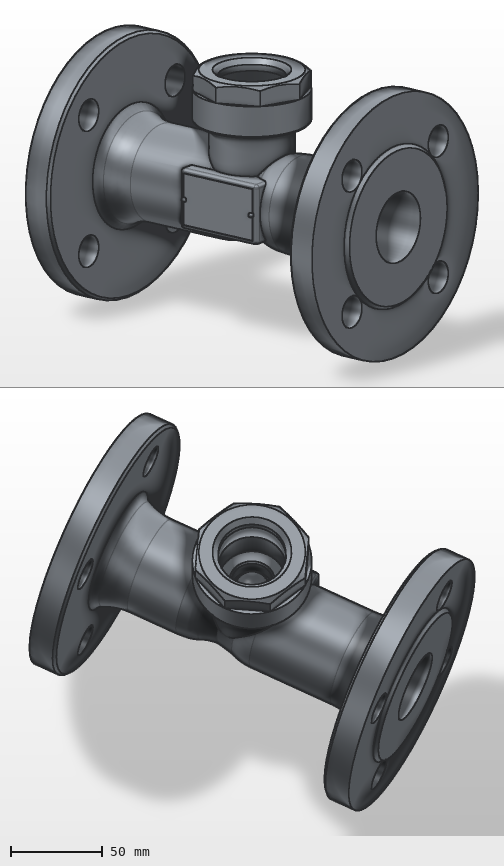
import cadquery as cq
import math

face_to_face = 200.0
flange_diameter = 150.0
raised_face_height = 2.2
raised_face_diameter = 92.0
raised_face_chamfer = 2.0
flange_thickness = 15.8
flange_chamfer = 1.5
bolt_circle = 110.0
bolt_hole_diameter = 18.0
bolt_hole_count = 4

pipe_diameter = 55.5
bore_diameter = 40.0
flare_length = 15.5
flare_rise = 3.5
root_fillet_length = 4.2
root_fillet_rise = 4.0

waist_radius = 23.2
waist_x = 9.8
waist_left_x = -12.5
waist_left_turn_x = -0.5
waist_left_turn_radius = 25.5
waist_right_x = 32.5
waist_right_turn_x = 20.2
waist_right_turn_radius = 25.5

neck_diameter = 47.0
neck_thread_diameter = 56.0
neck_flare_radius = 3.0
neck_top_z = 53.0
neck_bore_diameter = 37.0
neck_floor_z = 36.0

seat_rim_diameter = 25.0
seat_diameter = 23.0
seat_depth = 10.0
dome_radius = 10.0

pad_length = 52.5
pad_height = 34.5
pad_front_y = -30.2
pad_back_y = -16.0
pad_edge_fillet = 2.0
plate_length = 47.2
plate_height = 29.5
plate_thickness = 0.5
rivet_diameter = 2.5
rivet_height = 1.5
rivet_tip_fillet = 1.0
rivet_spacing = 45.5

nut_diameter = 65.0
nut_sides = 8
nut_bottom_z = 41.5
nut_bottom_chamfer = 1.2
nut_octagon_z = 60.0
nut_top_z = 70.8
nut_top_flat_diameter = 58.0
nut_top_chamfer_angle = 30.0
nut_cavity_top_z = 64.2
nut_opening_chamfer = 3.0

half_length = face_to_face / 2
pipe_radius = pipe_diameter / 2
flange_front = half_length - raised_face_height
flange_back = flange_front - flange_thickness
flare_end = flange_back - root_fillet_length
flare_start = flare_end - flare_length


def make_pipe_end(inner_x):
    """Pipe from inner_x out to its flange face at +X, as one turned solid."""
    flange_radius = flange_diameter / 2
    face_radius = raised_face_diameter / 2
    flare_radius = pipe_radius + flare_rise
    profile = (
        cq.Workplane("XY")
        .moveTo(inner_x, 0)
        .lineTo(inner_x, pipe_radius)
        .lineTo(flare_start, pipe_radius)
        .tangentArcPoint((flare_end, flare_radius), relative=False)
        .tangentArcPoint((flange_back, flare_radius + root_fillet_rise), relative=False)
        .lineTo(flange_back, flange_radius - flange_chamfer)
        .lineTo(flange_back + flange_chamfer, flange_radius)
        .lineTo(flange_front, flange_radius)
        .lineTo(flange_front, face_radius)
        .lineTo(half_length, face_radius - raised_face_chamfer)
        .lineTo(half_length, 0)
        .close()
    )
    pipe_end = profile.revolve(360, (0, 0, 0), (1, 0, 0))
    bolt_holes = (
        cq.Workplane("YZ", origin=(flange_back - root_fillet_length, 0, 0))
        .polarArray(bolt_circle / 2, 180 / bolt_hole_count, 360, bolt_hole_count)
        .circle(bolt_hole_diameter / 2)
        .extrude(half_length - flange_back + root_fillet_length)
    )
    return pipe_end.cut(bolt_holes)


def blend_radius(run, rise):
    """Radius of an arc that starts along the pipe and moves off it by rise over the length run."""
    return (run**2 + rise**2) / (2 * rise)


def make_waist():
    """Turned middle of the run, narrowing to the waist and widening again."""
    left_shoulder = blend_radius(
        waist_left_turn_x - waist_left_x, pipe_radius - waist_left_turn_radius
    )
    right_hollow = blend_radius(waist_right_turn_x - waist_x, waist_right_turn_radius - waist_radius)
    right_shoulder = blend_radius(
        waist_right_x - waist_right_turn_x, pipe_radius - waist_right_turn_radius
    )
    profile = (
        cq.Workplane("XY")
        .moveTo(waist_left_x, 0)
        .lineTo(waist_left_x, pipe_radius)
        .radiusArc((waist_left_turn_x, waist_left_turn_radius), left_shoulder)
        .lineTo(waist_x, waist_radius)
        .radiusArc((waist_right_turn_x, waist_right_turn_radius), -right_hollow)
        .radiusArc((waist_right_x, pipe_radius), right_shoulder)
        .lineTo(waist_right_x, 0)
        .close()
    )
    return profile.revolve(360, (0, 0, 0), (1, 0, 0))


def make_neck():
    """Upright neck, flared below a wider thread that carries the nut."""
    thread_radius = neck_thread_diameter / 2
    neck_radius = neck_diameter / 2
    profile = (
        cq.Workplane("XZ")
        .lineTo(neck_radius, 0)
        .lineTo(neck_radius, nut_bottom_z - neck_flare_radius)
        .tangentArcPoint((neck_flare_radius, neck_flare_radius))
        .lineTo(thread_radius, nut_bottom_z)
        .lineTo(thread_radius, neck_top_z)
        .lineTo(0, neck_top_z)
        .close()
    )
    return profile.revolve(360, (0, 0, 0), (0, 1, 0))


def make_nameplate():
    """Pad with rounded edges, a thin plate on it and a rivet at each end."""
    pad = (
        cq.Workplane("XZ", origin=(0, pad_back_y, 0))
        .rect(pad_length, pad_height)
        .extrude(pad_back_y - pad_front_y)
        .edges("|Y or <Y")
        .fillet(pad_edge_fillet)
    )
    plate = (
        cq.Workplane("XZ", origin=(0, pad_front_y, 0))
        .rect(plate_length, plate_height)
        .extrude(plate_thickness)
    )
    rivets = (
        cq.Workplane("XZ", origin=(0, pad_front_y, 0))
        .rarray(rivet_spacing, 2, 2, 1)
        .circle(rivet_diameter / 2)
        .extrude(plate_thickness + rivet_height)
        .faces("<Y")
        .fillet(rivet_tip_fillet)
    )
    return pad.union(plate).union(rivets)


def make_blind_bore(outer_x, inner_x):
    """Pipe bore that ends in a flat wall at inner_x."""
    return (
        cq.Workplane("YZ", origin=(outer_x, 0, 0))
        .circle(bore_diameter / 2)
        .extrude(inner_x - outer_x)
    )


def make_neck_cavity():
    """Neck bore with the seat pocket in its floor, leaving the dome standing."""
    bore = (
        cq.Workplane("XY", origin=(0, 0, neck_floor_z))
        .circle(neck_bore_diameter / 2)
        .extrude(neck_top_z - neck_floor_z)
    )
    seat_floor_z = neck_floor_z - seat_depth
    rim_chamfer = (seat_rim_diameter - seat_diameter) / 2
    pocket = (
        cq.Workplane("XZ")
        .moveTo(0, seat_floor_z)
        .lineTo(seat_diameter / 2, seat_floor_z)
        .lineTo(seat_diameter / 2, neck_floor_z - rim_chamfer)
        .lineTo(seat_rim_diameter / 2, neck_floor_z)
        .lineTo(0, neck_floor_z)
        .close()
        .revolve(360, (0, 0, 0), (0, 1, 0))
    )
    dome = cq.Workplane("XY", origin=(0, 0, seat_floor_z)).sphere(dome_radius)
    return bore.union(pocket).cut(dome)


def make_body():
    right_end = make_pipe_end(waist_right_x)
    left_end = make_pipe_end(-waist_left_x).mirror("YZ")
    solid = left_end.union(make_waist()).union(right_end)
    solid = solid.union(make_neck()).union(make_nameplate())
    solid = solid.cut(make_blind_bore(-half_length, waist_left_x))
    solid = solid.cut(make_blind_bore(half_length, waist_right_x))
    return solid.cut(make_neck_cavity())


def make_nut():
    """Cap nut: round skirt, octagonal head and a chamfered opening above its thread cavity."""
    nut_radius = nut_diameter / 2
    skirt = (
        cq.Workplane("XY", origin=(0, 0, nut_bottom_z))
        .circle(nut_radius)
        .extrude(nut_octagon_z - nut_bottom_z)
        .faces("<Z")
        .chamfer(nut_bottom_chamfer)
    )
    head = (
        cq.Workplane("XY", origin=(0, 0, nut_octagon_z))
        .polygon(nut_sides, nut_diameter)
        .extrude(nut_top_z - nut_octagon_z)
    )
    flat_radius = nut_top_flat_diameter / 2
    corner_drop = (nut_radius - flat_radius) * math.tan(math.radians(nut_top_chamfer_angle))
    head_envelope = (
        cq.Workplane("XZ")
        .moveTo(0, nut_octagon_z)
        .lineTo(nut_radius, nut_octagon_z)
        .lineTo(nut_radius, nut_top_z - corner_drop)
        .lineTo(flat_radius, nut_top_z)
        .lineTo(0, nut_top_z)
        .close()
        .revolve(360, (0, 0, 0), (0, 1, 0))
    )
    opening_radius = neck_bore_diameter / 2
    thread_radius = neck_thread_diameter / 2
    hollow = (
        cq.Workplane("XZ")
        .moveTo(0, nut_bottom_z)
        .lineTo(thread_radius, nut_bottom_z)
        .lineTo(thread_radius, nut_cavity_top_z)
        .lineTo(opening_radius, nut_cavity_top_z)
        .lineTo(opening_radius, nut_top_z - nut_opening_chamfer)
        .lineTo(opening_radius + nut_opening_chamfer, nut_top_z)
        .lineTo(0, nut_top_z)
        .close()
        .revolve(360, (0, 0, 0), (0, 1, 0))
    )
    return skirt.union(head.intersect(head_envelope)).cut(hollow)


body = make_body()
nut = make_nut()

result = cq.Compound.makeCompound([body.val(), nut.val()])